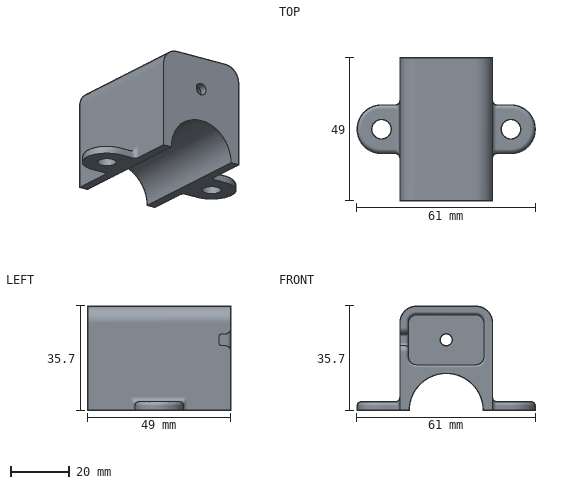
import cadquery as cq

overall_width = 61.0
body_width = 31.8
body_length = 49.0
body_height = 35.7
wall = 3.0
top_radius = 5.75
saddle_radius = 12.6

cavity_width = body_width - 2 * wall
cavity_floor = saddle_radius + wall
cavity_height = body_height - wall - cavity_floor
cavity_mid_z = cavity_floor + cavity_height / 2
cavity_corner_radius = top_radius - wall
mouth_fillet = 1.0
back_hole_diameter = 4.0

notch_depth = 4.0
notch_height = 4.0
notch_inner_radius = 1.0
notch_flare_radius = 2.0

ear_radius = 8.35
ear_thickness = 3.0
ear_hole_diameter = 6.6
ear_fillet = 1.45
ear_center_x = overall_width / 2 - ear_radius

front_y = -body_length / 2
back_y = body_length / 2


def make_block():
    """Solid block with its two long top edges rounded."""
    block = cq.Workplane("XY").box(body_width, body_length, body_height, centered=(True, True, False))
    return block.edges("|Y and >Z").fillet(top_radius)


def make_ear(side):
    """Ear with a round end; side is -1 for -X and +1 for +X."""
    straight_length = ear_center_x - body_width / 2 + wall / 2
    straight = (
        cq.Workplane("XY")
        .center(side * (ear_center_x - straight_length / 2), 0)
        .rect(straight_length, 2 * ear_radius)
        .extrude(ear_thickness)
    )
    round_end = cq.Workplane("XY").center(side * ear_center_x, 0).circle(ear_radius).extrude(ear_thickness)
    return straight.union(round_end)


def blend_ear_roots(part):
    """Fillet the seams between the ears and the side walls."""
    tolerance = 0.05
    seams = cq.Workplane("XY")
    for side in (-1, 1):
        seam_box = cq.selectors.BoxSelector(
            (side * body_width / 2 - tolerance, -ear_radius - tolerance, tolerance),
            (side * body_width / 2 + tolerance, ear_radius + tolerance, ear_thickness + tolerance),
        )
        seams = seams.add(part.edges(seam_box).vals())
    return part.newObject(seams.vals()).fillet(ear_fillet)


def round_ear_rims(part):
    """Round the top rim of both ears, running out along the root corners."""
    tip_selectors = [
        cq.selectors.NearestToPointSelector((side * overall_width / 2, 0, ear_thickness))
        for side in (-1, 1)
    ]
    rims = [part.edges(selector).val() for selector in tip_selectors]
    return part.newObject(rims).fillet(ear_fillet)


def make_cavity():
    """Rounded rectangular pocket, closed by a wall at the back."""
    cavity_length = body_length - wall
    return (
        cq.Workplane("XY")
        .box(cavity_width, cavity_length, cavity_height)
        .edges("|Y")
        .fillet(cavity_corner_radius)
        .translate((0, front_y + cavity_length / 2, cavity_mid_z))
    )


def make_notch():
    """Notch with rounded inner corners and flared entry."""
    half = notch_height / 2
    flared_half = half + notch_flare_radius
    flare_y = front_y + notch_flare_radius
    notch_end_y = front_y + notch_depth
    notch = (
        cq.Workplane("YZ")
        .center(0, cavity_mid_z)
        .moveTo(front_y, -flared_half)
        .radiusArc((flare_y, -half), notch_flare_radius)
        .lineTo(notch_end_y, -half)
        .lineTo(notch_end_y, half)
        .lineTo(flare_y, half)
        .radiusArc((front_y, flared_half), notch_flare_radius)
        .close()
        .extrude(2 * wall)
        .translate((-body_width / 2 - wall / 2, 0, 0))
    )
    return notch.faces(">Y").edges("|X").fillet(notch_inner_radius)


def round_mouth(part):
    """Round the inner rim of the opening, following the notch as well."""
    rim_start = part.faces("<Y").edges(
        cq.selectors.NearestToPointSelector((0, front_y, cavity_floor))
    ).val()
    return part.newObject([rim_start]).fillet(mouth_fillet)


def y_cylinder(diameter, z, start_y, end_y):
    """Cylinder along Y on the part's middle plane."""
    return (
        cq.Workplane("XZ", origin=(0, start_y, z))
        .circle(diameter / 2)
        .extrude(start_y - end_y)
    )


body = make_block().union(make_ear(-1)).union(make_ear(1))
body = blend_ear_roots(body)
body = round_ear_rims(body)
body = body.cut(make_cavity()).cut(make_notch())
body = round_mouth(body)

body = body.cut(y_cylinder(2 * saddle_radius, 0, front_y, back_y))
body = body.cut(y_cylinder(back_hole_diameter, cavity_mid_z, 0, back_y))

ear_holes = (
    cq.Workplane("XY")
    .pushPoints([(-ear_center_x, 0), (ear_center_x, 0)])
    .circle(ear_hole_diameter / 2)
    .extrude(ear_thickness)
)
result = body.cut(ear_holes)